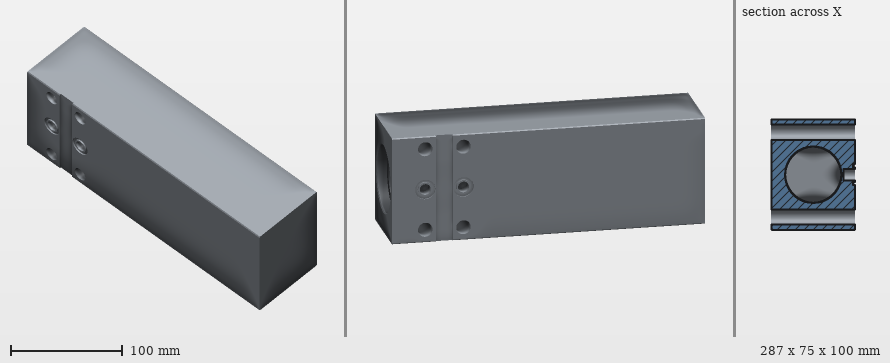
import cadquery as cq

LENGTH = 287.0
DEPTH = 75.0
HEIGHT = 100.0
EDGE_CHAMFER = 1.0

SLOT_WIDTH = 15.5
SLOT_DEPTH = 1.7
SLOT_CENTER = 48.0

HOLE_PITCH_X = 35.0
HOLE_PITCH_Z = 76.0
HOLE_DIAMETER = 13.2

PORT_DIAMETER = 10.0
PORT_DEPTH = 10.0
LAND_DIAMETER = 13.2
GROOVE_DIAMETER = 18.5
GROOVE_DEPTH = 1.5

BORE_DIAMETER = 50.0
BORE_BOTTOM_THICKNESS = 28.7
MOUTH_DIAMETER = 62.0
MOUTH_DEPTH = 9.8
MOUTH_CHAMFER = 1.0

OVERCUT = 3.0
FRONT_Y = -DEPTH / 2
COLUMNS_X = [SLOT_CENTER - HOLE_PITCH_X / 2, SLOT_CENTER + HOLE_PITCH_X / 2]


def end_cylinder(diameter, depth):
    """Cylinder running in +X from the open end of the block."""
    return cq.Workplane("YZ").circle(diameter / 2).extrude(depth)


def front_cylinder(x, z, diameter, depth):
    """Cylinder running in +Y from the front face."""
    direction = cq.Vector(0, 1, 0)
    return cq.Workplane(cq.Solid.makeCylinder(diameter / 2, depth, cq.Vector(x, FRONT_Y, z), direction))


def block():
    box = cq.Workplane("XY").box(LENGTH, DEPTH, HEIGHT, centered=(False, True, True))
    return box.edges("|X").chamfer(EDGE_CHAMFER)


def cross_slot():
    slot = cq.Workplane("XY").box(SLOT_WIDTH, 2 * SLOT_DEPTH, HEIGHT + 2 * OVERCUT)
    return slot.translate((SLOT_CENTER, FRONT_Y, 0))


def stepped_bore():
    bore = end_cylinder(BORE_DIAMETER, LENGTH - BORE_BOTTOM_THICKNESS)
    mouth = end_cylinder(MOUTH_DIAMETER, MOUTH_DEPTH)
    rim_radius = MOUTH_DIAMETER / 2 + MOUTH_CHAMFER
    rim = cq.Workplane("YZ").circle(rim_radius).extrude(rim_radius, taper=45)
    return bore.union(mouth).union(rim)


def oil_port(x):
    groove = front_cylinder(x, 0, GROOVE_DIAMETER, GROOVE_DEPTH)
    land = front_cylinder(x, 0, LAND_DIAMETER, GROOVE_DEPTH)
    hole = front_cylinder(x, 0, PORT_DIAMETER, PORT_DEPTH)
    return groove.cut(land).union(hole)


result = block().cut(cross_slot()).cut(stepped_bore())

for column_x in COLUMNS_X:
    result = result.cut(oil_port(column_x))
    for side in (-1, 1):
        result = result.cut(front_cylinder(column_x, side * HOLE_PITCH_Z / 2, HOLE_DIAMETER, DEPTH))